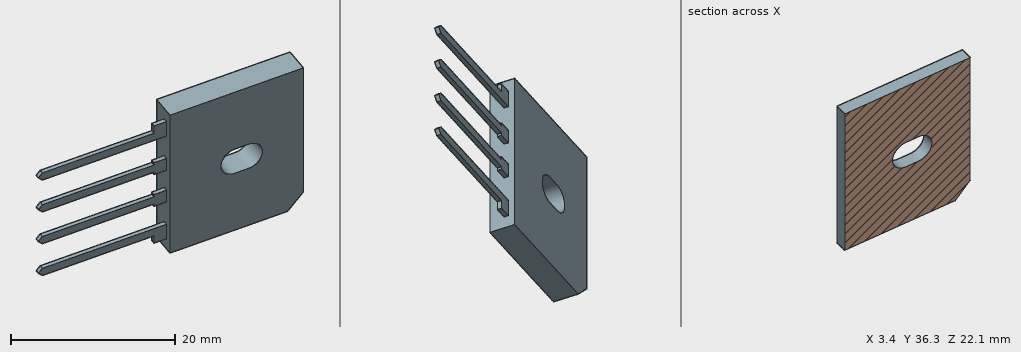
import cadquery as cq

total_length = 36.3
body_thickness = 3.4
body_length = 18.5
body_height = 22.05
corner_cut = 2.2

slot_length = 5.75
slot_width = 3.85
slot_from_back = 8.55

lead_pitch = 5.1
lead_width = 1.15
lead_thickness = 0.58
lead_from_left = 1.95
shoulder_length = 1.75
inner_shoulder_width = 1.9
outer_shoulder_width = 2.32

lead_length = total_length - body_length
lead_left = lead_from_left - body_thickness / 2
half_lead = lead_width / 2
inner_step = (inner_shoulder_width - lead_width) / 2
outer_step = outer_shoulder_width - lead_width


def make_body():
    """Rectangular block with one cut lower corner and the mounting slot."""
    body = cq.Workplane("XY").box(body_thickness, body_length, body_height)
    body = body.edges(">Y and <Z").chamfer(corner_cut)
    body = body.translate((0, body_length / 2, 0))
    slot = (
        cq.Workplane("YZ")
        .center(body_length - slot_from_back, 0)
        .slot2D(slot_length, slot_width)
        .extrude(body_thickness, both=True)
    )
    return body.cut(slot)


def make_lead(center_z, step_above, step_below):
    """Pointed lead whose shoulder widens it by the given steps."""
    top = center_z + half_lead
    bottom = center_z - half_lead
    tip_start = half_lead - lead_length
    pin = (
        cq.Workplane("YZ", origin=(lead_left, 0, 0))
        .moveTo(0, top)
        .lineTo(tip_start, top)
        .lineTo(-lead_length, center_z)
        .lineTo(tip_start, bottom)
        .lineTo(0, bottom)
        .close()
        .extrude(lead_thickness)
    )
    shoulder = (
        cq.Workplane("YZ", origin=(lead_left, 0, 0))
        .moveTo(0, bottom - step_below)
        .lineTo(0, top + step_above)
        .lineTo(-shoulder_length, top + step_above)
        .lineTo(-shoulder_length, bottom - step_below)
        .close()
        .extrude(lead_thickness)
    )
    return pin.union(shoulder)


leads = [
    make_lead(1.5 * lead_pitch, outer_step, 0),
    make_lead(0.5 * lead_pitch, inner_step, inner_step),
    make_lead(-0.5 * lead_pitch, inner_step, inner_step),
    make_lead(-1.5 * lead_pitch, 0, outer_step),
]

result = make_body()
for lead in leads:
    result = result.union(lead)